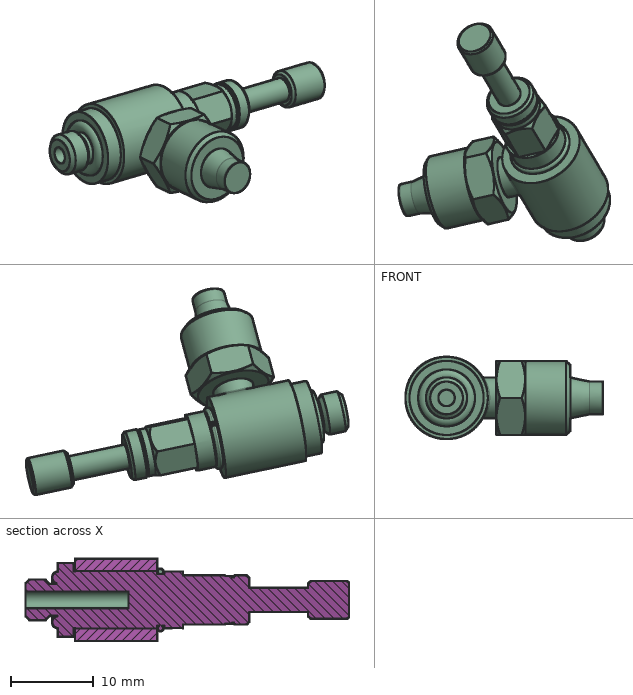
import cadquery as cq
import math


housing_dia = 10.0
housing_start = 6.0
housing_length = 10.0
bore_dia = 6.9

branch_y = 12.5
branch_dia = 5.0
branch_fillet = 0.25
nut_start = 6.0
nut_end = 9.58
nut_flats = 9.0
nut_bevel = 0.47
nut_face_dia = 8.8
sleeve_end = 15.0
sleeve_chamfer = 0.5
taper_end = 17.35
spigot_dia = 4.0
overall_width = 24.0
spigot_end = overall_width - housing_dia / 2
spigot_bevel_length = 0.2
spigot_bevel_depth = 0.05

thread_dia = 5.0
thread_chamfer = 0.5
thread_end = 2.45
neck_dia = 3.9
undercut_start = 3.0
hole_dia = 2.0
hole_depth = branch_y

flange_dia = 9.0
flange_start = 3.92
flange_end = 5.9
seal_dia = 6.9
seal_y = 4.0
seal_section_radius = (seal_dia - neck_dia) / 4

clip_dia = 7.6
clip_inner_dia = 6.15
clip_groove_dia = 6.3
clip_groove_end = 16.85
clip_section_radius = (clip_dia - clip_inner_dia) / 4
clip_gap = 0.5

hex_start = 19.1
hex_end = 24.25
hex_flats = 6.0
hex_bevel = 0.47
shoulder_dia = 5.8
shoulder_end = 25.1
collar_start = 25.28
collar_end = 27.15
collar_dia = 6.0
collar_groove_dia = 5.5
collar_top_chamfer = 0.35
collar_bottom_chamfer = 0.1

rod_dia = 3.0
knob_dia = 4.6
knob_start = 34.23
stem_end = 39.25
knob_bottom_chamfer = 0.35
knob_top_chamfer = 0.25

housing_end = housing_start + housing_length
clip_y = housing_end + clip_section_radius


def turned_y(profile):
    """Solid of revolution about Y from (radius, y) points, closed along the axis."""
    points = [(0, profile[0][1]), *profile, (0, profile[-1][1])]
    return cq.Workplane("XY").polyline(points).close().revolve(360, (0, 0), (0, 1))


def turned_x(profile):
    """Solid of revolution about the branch axis from (x, radius) points."""
    points = [(profile[0][0], 0), *profile, (profile[-1][0], 0)]
    branch_plane = cq.Workplane("XY", origin=(0, branch_y, 0))
    return branch_plane.polyline(points).close().revolve(360, (0, 0), (1, 0))


def hexagon(plane, flats, length):
    """Hexagonal prism with two flats square to Z."""
    return plane.polygon(6, flats / math.cos(math.pi / 6)).extrude(length)


def ring_about_y(center_radius, section_radius, y):
    """Round-section ring about Y."""
    section = cq.Workplane("XY").center(center_radius, y).circle(section_radius)
    return section.revolve(360, (-center_radius, 0), (-center_radius, 1))


def make_nut():
    corner = nut_flats / 2 / math.cos(math.pi / 6)
    face_radius = nut_face_dia / 2
    start_plane = cq.Workplane(cq.Plane((nut_start, branch_y, 0), xDir=(0, 1, 0), normal=(1, 0, 0)))
    bevels = turned_x([
        (nut_start, face_radius),
        (nut_start + nut_bevel, corner),
        (nut_end - nut_bevel, corner),
        (nut_end, face_radius),
    ])
    return hexagon(start_plane, nut_flats, nut_end - nut_start).intersect(bevels)


def make_branch_end():
    sleeve_radius = nut_flats / 2
    spigot_radius = spigot_dia / 2
    return turned_x([
        (nut_end, sleeve_radius),
        (sleeve_end - sleeve_chamfer, sleeve_radius),
        (sleeve_end, sleeve_radius - sleeve_chamfer),
        (sleeve_end, branch_dia / 2),
        (taper_end, spigot_radius),
        (spigot_end - spigot_bevel_length, spigot_radius),
        (spigot_end, spigot_radius - spigot_bevel_depth),
    ])


def make_housing():
    barrel = turned_y([(housing_dia / 2, housing_start), (housing_dia / 2, housing_end)])
    branch = turned_x([(0, branch_dia / 2), (nut_start, branch_dia / 2)])
    root = cq.selectors.BoxSelector(
        (bore_dia / 2, branch_y - branch_dia, -branch_dia),
        (housing_dia / 2, branch_y + branch_dia, branch_dia),
    )
    body = barrel.union(branch).edges(root).edges("not %CIRCLE").edges("not %LINE").fillet(branch_fillet)
    bore = turned_y([(bore_dia / 2, housing_start), (bore_dia / 2, housing_end)])
    return body.cut(bore).union(make_nut()).union(make_branch_end())


def make_hexagon():
    corner = hex_flats / 2 / math.cos(math.pi / 6)
    start_plane = cq.Workplane(cq.Plane((0, hex_start, 0), xDir=(1, 0, 0), normal=(0, 1, 0)))
    bevel = turned_y([
        (corner, hex_start),
        (corner, hex_end - hex_bevel),
        (shoulder_dia / 2, hex_end),
    ])
    return hexagon(start_plane, hex_flats, hex_end - hex_start).intersect(bevel)


def make_lower_stem():
    thread_radius = thread_dia / 2
    lower = turned_y([
        (thread_radius - thread_chamfer, 0),
        (thread_radius, thread_chamfer),
        (thread_radius, thread_end),
        (neck_dia / 2, undercut_start),
        (neck_dia / 2, flange_start),
        (flange_dia / 2, flange_start),
        (flange_dia / 2, flange_end),
        (bore_dia / 2, flange_end),
        (bore_dia / 2, housing_end),
        (clip_groove_dia / 2, housing_end),
        (clip_groove_dia / 2, clip_groove_end),
        (bore_dia / 2, clip_groove_end),
        (bore_dia / 2, hex_start),
    ])
    seal = ring_about_y(seal_dia / 2 - seal_section_radius, seal_section_radius, seal_y)
    return lower.union(seal)


def make_clip():
    clip = ring_about_y(clip_dia / 2 - clip_section_radius, clip_section_radius, clip_y)
    gap = cq.Workplane("XY", origin=(0, clip_y, 0)).rect(clip_gap, 2 * clip_section_radius).extrude(clip_dia)
    return clip.cut(gap)


def make_upper_stem():
    collar_radius = collar_dia / 2
    knob_radius = knob_dia / 2
    return turned_y([
        (shoulder_dia / 2, hex_end),
        (shoulder_dia / 2, shoulder_end),
        (collar_groove_dia / 2, shoulder_end),
        (collar_groove_dia / 2, collar_start),
        (collar_radius - collar_bottom_chamfer, collar_start),
        (collar_radius, collar_start + collar_bottom_chamfer),
        (collar_radius, collar_end - collar_top_chamfer),
        (collar_radius - collar_top_chamfer, collar_end),
        (rod_dia / 2, collar_end),
        (rod_dia / 2, knob_start),
        (knob_radius - knob_bottom_chamfer, knob_start),
        (knob_radius, knob_start + knob_bottom_chamfer),
        (knob_radius, stem_end - knob_top_chamfer),
        (knob_radius - knob_top_chamfer, stem_end),
    ])


def make_stem():
    stem = make_lower_stem().union(make_clip()).union(make_hexagon()).union(make_upper_stem())
    hole = turned_y([(hole_dia / 2, 0), (hole_dia / 2, hole_depth)])
    return stem.cut(hole)


housing = make_housing()
stem = make_stem()
result = cq.Compound.makeCompound([housing.val(), stem.val()])